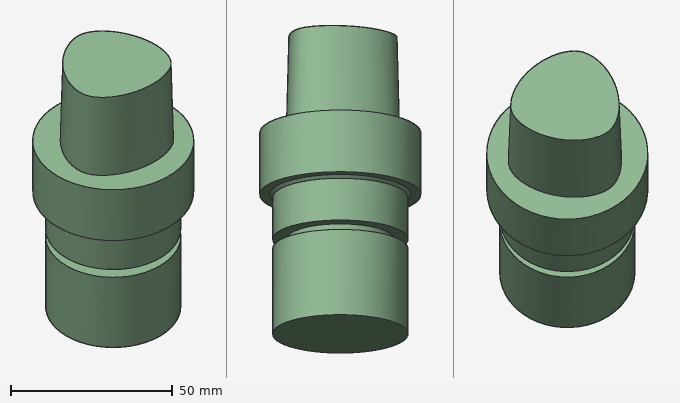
import cadquery as cq
import math

total_height = 95.0
nut_height = 27.55
groove_width = 3.0
collar_bottom = 45.0
collar_height = 19.95
collar_top = collar_bottom + collar_height

collar_diameter = 50.0
neck_diameter = 42.0
nut_diameter = neck_diameter
groove_diameter = 33.5
root_chamfer = 0.95

shank_base_radius = 17.6
shank_top_radius = 16.8
lobe_height = 1.1
lobe_direction = -math.pi / 2


def lobed_outline(height, mean_radius):
    """Closed three-lobed wire of constant width, with one lobe toward -Y."""

    def outline_point(turn):
        angle = 2 * math.pi * turn
        lobe_angle = 3 * (angle - lobe_direction)
        reach = mean_radius + lobe_height * math.cos(lobe_angle)
        slope = -3 * lobe_height * math.sin(lobe_angle)
        x = reach * math.cos(angle) - slope * math.sin(angle)
        y = reach * math.sin(angle) + slope * math.cos(angle)
        return cq.Vector(x, y, height)

    points_per_turn = 48
    points = [outline_point(i / points_per_turn) for i in range(points_per_turn)]
    return cq.Wire.assembleEdges([cq.Edge.makeSpline(points, periodic=True)])


def make_shank():
    """Polygon taper rising from the collar."""
    base = lobed_outline(collar_top, shank_base_radius)
    top = lobed_outline(total_height, shank_top_radius)
    return cq.Workplane(cq.Solid.makeLoft([base, top], True))


def make_holder():
    """Collar, chamfered neck and groove core in one turned profile, plus the shank."""
    neck_radius = neck_diameter / 2
    groove_radius = groove_diameter / 2
    neck_bottom = nut_height + groove_width
    turned_body = (
        cq.Workplane("XZ")
        .moveTo(0, nut_height)
        .lineTo(groove_radius, nut_height)
        .lineTo(groove_radius, neck_bottom)
        .lineTo(neck_radius, neck_bottom)
        .lineTo(neck_radius, collar_bottom - root_chamfer)
        .lineTo(neck_radius + root_chamfer, collar_bottom)
        .lineTo(collar_diameter / 2, collar_bottom)
        .lineTo(collar_diameter / 2, collar_top)
        .lineTo(0, collar_top)
        .close()
        .revolve(360, (0, 0, 0), (0, 1, 0))
    )
    return turned_body.union(make_shank())


def make_nut():
    """Plain cylindrical nut whose top face meets the groove core."""
    return cq.Workplane("XY").circle(nut_diameter / 2).extrude(nut_height)


holder = make_holder()
nut = make_nut()

result = cq.Compound.makeCompound([holder.solids().val(), nut.val()])